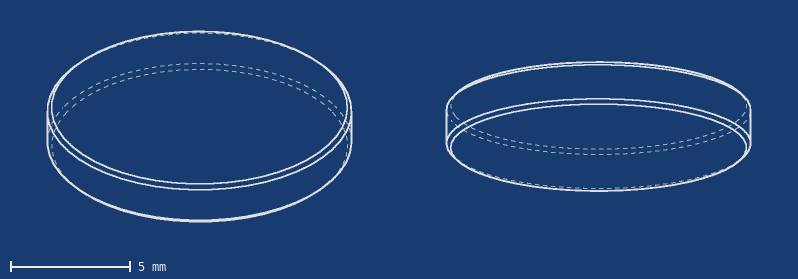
import cadquery as cq

diameter = 12.7
total_height = 2.8
dome_height = 0.95
chamfer = 0.18

radius = diameter / 2
face_radius = radius - chamfer
rim_height = total_height - dome_height

sphere_radius = (face_radius**2 + dome_height**2) / (2 * dome_height)
mid_radius = face_radius / 2
sphere_center = total_height - sphere_radius
mid_height = sphere_center + (sphere_radius**2 - mid_radius**2) ** 0.5

result = (
    cq.Workplane("YZ")
    .moveTo(0, 0)
    .lineTo(face_radius, 0)
    .lineTo(radius, chamfer)
    .lineTo(radius, rim_height - chamfer)
    .lineTo(face_radius, rim_height)
    .threePointArc((mid_radius, mid_height), (0, total_height))
    .close()
    .revolve(360, (0, 0, 0), (0, 1, 0))
)